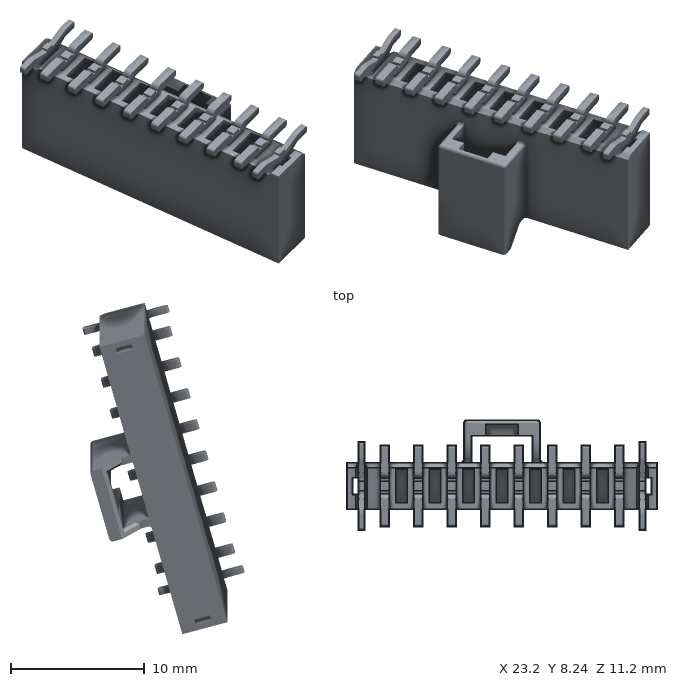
import cadquery as cq
body_length = 23.23
body_depth = 3.5
body_height = 8.66
body_chamfer_depth = 0.4
body_chamfer_height = 0.28
back_face = body_depth / 2

pitch = 2.5
contact_count = 8
pocket_width = 0.88
pocket_length = 2.53
pocket_depth = 1.4

terminal_top = body_height + 1.0
arm_thickness = 0.65
arm_end_radius = 0.2
pad_half_length = 0.35
pad_drop = 0.2
notch_half_length = 0.58
notch_drop = 0.42

contact_width = 0.65
contact_half_span = 3.05
contact_bend_radius = notch_drop
contact_bend_start = notch_half_length + contact_bend_radius
contact_foot_half_length = 1.0

bracket_width = 0.46
bracket_half_span = 3.31
bracket_slope_start = 2.02
bracket_bend_radius = 0.93
bracket_foot_half_length = 0.93
bracket_arm_root = 2.02
bracket_x = body_length / 2 - 1.1

groove_width = 0.85
groove_depth = 0.25
slot_outer_x = body_length / 2 - 0.45
slot_length = 1.23

latch_width = 5.71
latch_reach = 3.18
latch_top = 6.83
latch_bottom = -1.49
latch_foot = 0.93
latch_opening_width = 4.55
latch_wall = 1.18
latch_edge_radius = 0.25
latch_root_radius = 0.23
latch_lead_in = 0.2
recess_width = 2.46
recess_wall = 0.3
recess_floor = -0.23
latch_back = back_face + latch_reach
latch_foot_y = latch_back - latch_foot
latch_slope_end_y = latch_foot_y + latch_bottom


def make_body():
    bevel_y = back_face - body_chamfer_depth
    bevel_z = body_height - body_chamfer_height
    return (
        cq.Workplane("YZ")
        .polyline([
            (-back_face, 0),
            (back_face, 0),
            (back_face, bevel_z),
            (bevel_y, body_height),
            (-back_face, body_height),
        ])
        .close()
        .extrude(body_length / 2, both=True)
    )


def make_pockets():
    centers = [((i - (contact_count - 2) / 2) * pitch, 0) for i in range(contact_count - 1)]
    return (
        cq.Workplane("XY", origin=(0, 0, body_height - pocket_depth))
        .pushPoints(centers)
        .rect(pocket_width, pocket_length)
        .extrude(pocket_depth)
    )


def make_bracket_groove(side):
    half_top = groove_width / 2
    half_floor = half_top - groove_depth
    floor_z = body_height - groove_depth
    return (
        cq.Workplane("XZ", origin=(side * bracket_x, 0, 0))
        .polyline([
            (-half_top, body_height),
            (-half_floor, floor_z),
            (half_floor, floor_z),
            (half_top, body_height),
        ])
        .close()
        .extrude(body_depth / 2, both=True)
    )


def make_bracket_slot(side):
    slot_inner_x = bracket_x + bracket_width / 2
    slot_width = slot_outer_x - slot_inner_x
    center_x = side * (slot_outer_x + slot_inner_x) / 2
    return (
        cq.Workplane("XY", origin=(center_x, 0, 0))
        .rect(slot_width, slot_length)
        .extrude(body_height)
    )


def round_arm_ends(terminal):
    return terminal.edges("|X").edges("<Y or >Y").fillet(arm_end_radius)


def make_contact(x):
    arm_bottom = terminal_top - arm_thickness
    pad_z = terminal_top - pad_drop
    notch_z = terminal_top - notch_drop
    underside_radius = arm_bottom - body_height
    arm_root = contact_foot_half_length + underside_radius
    contact = (
        cq.Workplane("YZ", origin=(x, 0, 0))
        .moveTo(-contact_half_span, terminal_top)
        .lineTo(-contact_bend_start, terminal_top)
        .radiusArc((-notch_half_length, notch_z), contact_bend_radius)
        .lineTo(-pad_half_length, notch_z)
        .lineTo(-pad_half_length, pad_z)
        .lineTo(pad_half_length, pad_z)
        .lineTo(pad_half_length, notch_z)
        .lineTo(notch_half_length, notch_z)
        .radiusArc((contact_bend_start, terminal_top), contact_bend_radius)
        .lineTo(contact_half_span, terminal_top)
        .lineTo(contact_half_span, arm_bottom)
        .lineTo(arm_root, arm_bottom)
        .radiusArc((contact_foot_half_length, body_height), -underside_radius)
        .lineTo(-contact_foot_half_length, body_height)
        .radiusArc((-arm_root, arm_bottom), -underside_radius)
        .lineTo(-contact_half_span, arm_bottom)
        .close()
        .extrude(contact_width / 2, both=True)
    )
    return round_arm_ends(contact)


def make_bracket(side):
    arm_bottom = terminal_top - arm_thickness
    half_profile = [
        (pad_half_length, terminal_top - pad_drop),
        (pad_half_length, terminal_top - notch_drop),
        (notch_half_length, terminal_top - notch_drop),
        (bracket_slope_start, terminal_top),
        (bracket_half_span, terminal_top),
        (bracket_half_span, arm_bottom),
        (bracket_arm_root, arm_bottom),
        (bracket_foot_half_length, body_height - groove_depth),
    ]
    mirrored = [(-y, z) for y, z in reversed(half_profile)]
    bracket = (
        cq.Workplane("YZ", origin=(side * bracket_x, 0, 0))
        .polyline(half_profile + mirrored)
        .close()
        .extrude(bracket_width / 2, both=True)
    )
    for bend_y in (-bracket_slope_start, bracket_slope_start):
        bend = cq.selectors.NearestToPointSelector((side * bracket_x, bend_y, terminal_top))
        bracket = bracket.edges("|X").edges(bend).fillet(bracket_bend_radius)
    return round_arm_ends(bracket)


def make_latch_block():
    block = (
        cq.Workplane("YZ")
        .polyline([
            (back_face, latch_top),
            (latch_back, latch_top),
            (latch_back, latch_bottom),
            (latch_foot_y, latch_bottom),
            (latch_slope_end_y, 0),
            (back_face, 0),
        ])
        .close()
        .extrude(latch_width / 2, both=True)
    )
    return block.edges("(|Z and >Y) or (>Z and (not <Y))").fillet(latch_edge_radius)


def blend_latch_root(part):
    margin = 0.02
    root = cq.selectors.BoxSelector(
        (-latch_width / 2 - margin, back_face - margin, margin),
        (latch_width / 2 + margin, back_face + margin, latch_top + margin),
    )
    return part.edges(root).fillet(latch_root_radius)


def cut_latch_opening(part):
    inner_y = latch_back - latch_wall
    opening_length = inner_y - back_face
    cut_top = latch_top + latch_root_radius
    opening = (
        cq.Workplane("XY", origin=(0, back_face + opening_length / 2, latch_bottom))
        .rect(latch_opening_width, opening_length)
        .extrude(cut_top - latch_bottom)
    )
    part = part.cut(opening)

    slope_mid_y = (inner_y + latch_slope_end_y) / 2
    slope_mid_z = latch_slope_end_y - slope_mid_y
    for side in (-1, 1):
        edge_point = (side * latch_opening_width / 2, slope_mid_y, slope_mid_z)
        part = part.edges(cq.selectors.NearestToPointSelector(edge_point)).chamfer(latch_lead_in)

    recess_depth = latch_wall - recess_wall
    recess = (
        cq.Workplane("XY", origin=(0, inner_y + recess_depth / 2, recess_floor))
        .rect(recess_width, recess_depth)
        .extrude(latch_top - recess_floor)
    )
    return part.cut(recess)


result = blend_latch_root(make_body().union(make_latch_block()))
result = cut_latch_opening(result)
result = result.cut(make_pockets())
for side in (-1, 1):
    result = result.cut(make_bracket_groove(side)).cut(make_bracket_slot(side))
    result = result.union(make_bracket(side))
for i in range(contact_count):
    result = result.union(make_contact((i - (contact_count - 1) / 2) * pitch))